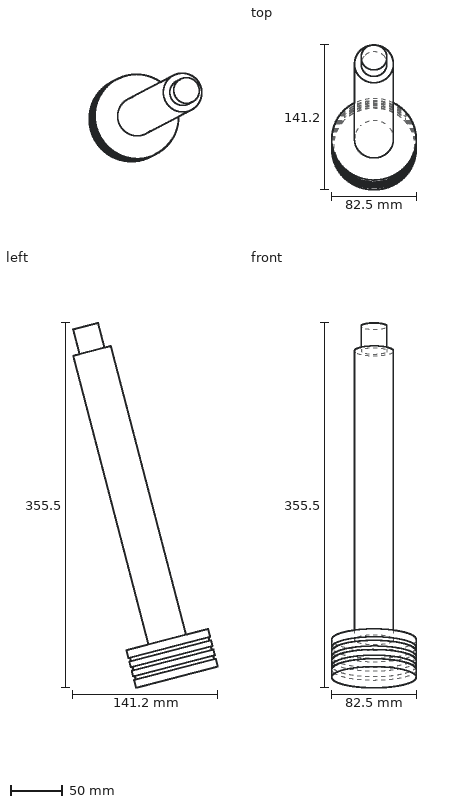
import cadquery as cq

tilt_angle = 14.6
total_length = 353.3

head_diameter = 82.5
head_height = 38.0
groove_count = 3
groove_radius = 1.8
groove_pitch = 9.2

rod_diameter = 38.0
pin_diameter = 25.2
pin_length = 25.0


def cylinder(diameter, bottom, top):
    """Solid cylinder on the Z axis between two heights."""
    return cq.Workplane("XY").workplane(offset=bottom).circle(diameter / 2).extrude(top - bottom)


def ring_cutter(center_height):
    """Torus centred on the rim of the head, which cuts a half-round groove."""
    profile = cq.Workplane("XZ").center(head_diameter / 2, center_height).circle(groove_radius)
    return profile.revolve(360, (-head_diameter / 2, 0), (-head_diameter / 2, 1))


head = cylinder(head_diameter, 0, head_height)
for index in range(groove_count):
    offset = (index - (groove_count - 1) / 2) * groove_pitch
    head = head.cut(ring_cutter(head_height / 2 + offset))

shoulder_height = total_length - pin_length
rod = cylinder(rod_diameter, head_height, shoulder_height)
pin = cylinder(pin_diameter, shoulder_height, total_length)

upright = head.union(rod).union(pin)
result = upright.rotate((0, 0, 0), (1, 0, 0), -tilt_angle)